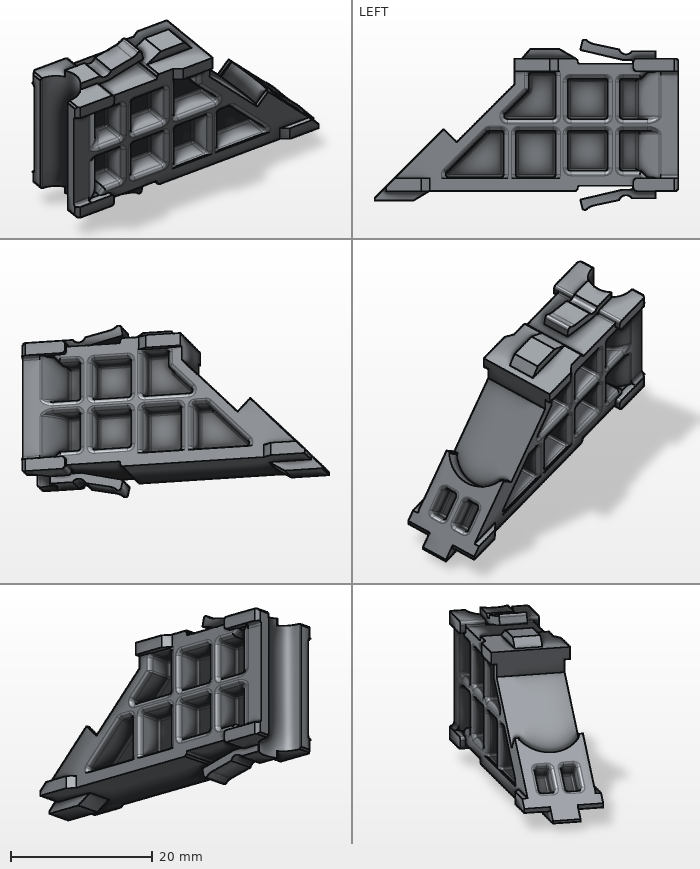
import cadquery as cq
import math

LENGTH = 43.1
FLANGE_HALF_WIDTH = 5.795
CORE_HALF_WIDTH = 5.0
BODY_HALF_HEIGHT = 9.4
FLANGE_UNDERSIDE = 7.6
TONGUE_HALF_WIDTH = 2.03
TONGUE_HEIGHT = 10.78

UPPER_TONGUE_BACK = 22.2
UPPER_CREST_BACK = 21.0
UPPER_CREST_FRONT = 16.95
LOWER_TONGUE_FRONT = 35.35
LOWER_CREST_FRONT = 37.6

SLOPE_OUTER = 32.7
STEP_DEPTH = 2.65
SLOPE_INNER = SLOPE_OUTER - STEP_DEPTH * math.sqrt(2)
BACK_WALL = 23.27
STEP_EDGE = 33.3
STEP_RADIUS = 5.17
STEP_RISE = 2.7
STEP_SHOULDER = 0.2
LOWER_FLANGE_END = 41.45

FRONT_FLANGE_LENGTH = 6.4
UNDERCUT_END = 14.25
UNDERCUT_HEIGHT = 8.65
UNDERCUT_CHAMFER = 0.3
UNDERCUT_ROOT_ROUND = 0.2
TAPER_LENGTH = 1.2
UPPER_TAPER_START = 18.25
LOWER_TAPER_START = 36.5
FRONT_EDGE_CHAMFER = 0.3
FRONT_CORNER_CHAMFER = 0.55
FLANGE_EDGE_ROUND = 0.47
GUSSET_RADIUS = 0.5
GUSSET_LENGTH = 2.55

BORE_RADIUS = 3.45
BORE_CENTER = 0.35
BORE_WALL_RADIUS = 5.5

WEB_HALF_WIDTH = 1.05
WALL_ROUND = 0.45
FLOOR_ROUND = 0.41
RIM_ROUND = 0.65
POCKET_NEAR_MID = 0.8
POCKET_FAR = 6.55
POCKET_AT_FLANGE = 7.45
POCKET_SLOPE = 26.15

CELL_CENTER = 38.25
CELL_OFFSET = 1.95
CELL_WIDTH = 2.25
CELL_LENGTH = 4.2
CELL_RIM_ROUND = 0.5


def yz_prism(points, half_width):
    """Extrude a closed (y, z) outline evenly to both sides of x = 0."""
    return cq.Workplane("YZ").polyline(points).close().extrude(half_width, both=True)


def side_outline():
    """Side outline of the body before the recess in the slope is cut."""
    return [
        (0, -BODY_HALF_HEIGHT),
        (LOWER_FLANGE_END, -BODY_HALF_HEIGHT),
        (LOWER_FLANGE_END, SLOPE_OUTER - LOWER_FLANGE_END),
        (SLOPE_OUTER - BODY_HALF_HEIGHT, BODY_HALF_HEIGHT),
        (0, BODY_HALF_HEIGHT),
    ]


def slope_plane(y, y_plus_z):
    """Plane on a 45 degree face; local y points down the slope, normal points out."""
    return cq.Plane(origin=(0, y, y_plus_z - y), xDir=(1, 0, 0), normal=(0, 1, 1))


def space_above_slope():
    """Everything behind the plane of the raised sloped face."""
    outline = [
        (SLOPE_OUTER + LENGTH, -LENGTH),
        (SLOPE_OUTER - LENGTH, LENGTH),
        (SLOPE_OUTER + LENGTH, LENGTH),
    ]
    return yz_prism(outline, FLANGE_HALF_WIDTH)


def slope_recess():
    """Space above the recessed slope: ends at an arched step and at the upright back wall."""
    reach = LENGTH
    center_to_chord = STEP_RADIUS - STEP_RISE + STEP_SHOULDER
    arc_half = math.sqrt(STEP_RADIUS**2 - center_to_chord**2)
    step_floor = STEP_EDGE - STEP_DEPTH / math.sqrt(2)
    recess = (
        cq.Workplane(slope_plane(step_floor, SLOPE_INNER))
        .moveTo(-FLANGE_HALF_WIDTH, -reach)
        .lineTo(-FLANGE_HALF_WIDTH, 0)
        .lineTo(-arc_half, 0)
        .lineTo(-arc_half, STEP_SHOULDER)
        .threePointArc((0, STEP_RISE), (arc_half, STEP_SHOULDER))
        .lineTo(arc_half, 0)
        .lineTo(FLANGE_HALF_WIDTH, 0)
        .lineTo(FLANGE_HALF_WIDTH, -reach)
        .close()
        .extrude(reach)
    )
    behind_wall = cq.Workplane("XY").box(reach, reach, 2 * reach, centered=(True, False, True))
    return recess.intersect(behind_wall.translate((0, BACK_WALL, 0)))


def undercut(side):
    """Clearance under a latch: rounded front edge, chamfered rear edge; side is +1 top, -1 bottom."""
    round_start = FRONT_FLANGE_LENGTH - FLANGE_EDGE_ROUND
    arc_inset = FLANGE_EDGE_ROUND * (1 - math.sqrt(0.5))
    block = (
        cq.Workplane("YZ")
        .moveTo(FRONT_FLANGE_LENGTH, UNDERCUT_HEIGHT)
        .lineTo(UNDERCUT_END, UNDERCUT_HEIGHT)
        .lineTo(UNDERCUT_END, BODY_HALF_HEIGHT - UNDERCUT_CHAMFER)
        .lineTo(UNDERCUT_END + UNDERCUT_CHAMFER, BODY_HALF_HEIGHT)
        .lineTo(round_start, BODY_HALF_HEIGHT)
        .threePointArc(
            (FRONT_FLANGE_LENGTH - arc_inset, BODY_HALF_HEIGHT - arc_inset),
            (FRONT_FLANGE_LENGTH, BODY_HALF_HEIGHT - FLANGE_EDGE_ROUND),
        )
        .close()
        .extrude(FLANGE_HALF_WIDTH, both=True)
        .faces("<Z").edges("|X").fillet(UNDERCUT_ROOT_ROUND)
    )
    return block if side > 0 else block.mirror("XY")


def pocket(points):
    """Pocket cutter for the -X side: rounded upright corners and floor."""
    depth = CORE_HALF_WIDTH - WEB_HALF_WIDTH
    block = cq.Workplane("YZ", origin=(-CORE_HALF_WIDTH, 0, 0)).polyline(points).close().extrude(depth)
    return block.edges("|X").fillet(WALL_ROUND).faces(">X").edges().fillet(FLOOR_ROUND)


def bore_pocket(side):
    """Pocket beside the bore; its front wall is round and concentric with the bore."""
    rear = 8.3
    step_start = 5.3
    step = POCKET_AT_FLANGE - POCKET_FAR
    depth = CORE_HALF_WIDTH - WEB_HALF_WIDTH
    outline = [
        (0, POCKET_NEAR_MID),
        (rear, POCKET_NEAR_MID),
        (rear, POCKET_FAR),
        (step_start, POCKET_FAR),
        (step_start - step, POCKET_AT_FLANGE),
        (0, POCKET_AT_FLANGE),
    ]
    block = cq.Workplane("YZ", origin=(-CORE_HALF_WIDTH, 0, 0)).polyline(outline).close().extrude(depth)
    bore_wall = (
        cq.Workplane("XY", origin=(0, BORE_CENTER, 0)).circle(BORE_WALL_RADIUS)
        .extrude(BODY_HALF_HEIGHT)
    )
    block = block.cut(bore_wall)
    block = block.edges("|X and >Y").fillet(WALL_ROUND)
    block = block.faces("<Z").edges("%CIRCLE").fillet(WALL_ROUND)
    block = block.faces(">X").edges().fillet(FLOOR_ROUND)
    return block if side > 0 else block.mirror("XY")


def pocket_outlines():
    def rectangle(y0, y1, z0, z1):
        return [(y0, z0), (y1, z0), (y1, z1), (y0, z1)]

    middle = (10.05, 15.75)
    rear_front = 17.4
    rear_back = 23.1
    upper_back = 21.25
    triangle_front = 24.8
    near, far, flange = POCKET_NEAR_MID, POCKET_FAR, POCKET_AT_FLANGE
    return [
        rectangle(*middle, near, far),
        rectangle(*middle, -far, -near),
        rectangle(rear_front, rear_back, -flange, -near),
        [
            (rear_front, near),
            (POCKET_SLOPE - near, near),
            (upper_back, POCKET_SLOPE - upper_back),
            (upper_back, flange),
            (rear_front, flange),
        ],
        [
            (triangle_front, -flange),
            (POCKET_SLOPE + flange, -flange),
            (POCKET_SLOPE + near, -near),
            (triangle_front, -near),
        ],
    ]


def round_rims(body, face_selector, radius):
    """Round the mouths of all pockets that open into the chosen face."""
    rims = [
        edge
        for face in body.faces(face_selector).vals()
        for wire in face.innerWires()
        for edge in wire.Edges()
    ]
    return body.newObject(rims).fillet(radius)


def core():
    body = yz_prism(side_outline(), CORE_HALF_WIDTH)
    cutters = [pocket(points) for points in pocket_outlines()]
    cutters += [bore_pocket(side) for side in (1, -1)]
    for cutter in cutters:
        body = body.cut(cutter).cut(cutter.mirror("YZ"))
    body = round_rims(body, "<X", RIM_ROUND)
    return round_rims(body, ">X", RIM_ROUND)


def flange(side, taper_start, end):
    """Full-width plate with a wide rear part, a narrow middle and a wide front part."""
    thickness = BODY_HALF_HEIGHT - FLANGE_UNDERSIDE
    wide = FLANGE_HALF_WIDTH
    narrow = CORE_HALF_WIDTH
    narrow_start = taper_start - TAPER_LENGTH
    base = cq.Workplane("XY", origin=(0, 0, FLANGE_UNDERSIDE))
    rear = (
        base.polyline([
            (-wide, end),
            (-wide, taper_start),
            (-narrow, narrow_start),
            (-narrow, 0),
            (narrow, 0),
            (narrow, narrow_start),
            (wide, taper_start),
            (wide, end),
        ])
        .close()
        .extrude(thickness)
    )
    front = (
        base.center(0, FRONT_FLANGE_LENGTH / 2)
        .rect(2 * wide, FRONT_FLANGE_LENGTH)
        .extrude(thickness)
        .edges("|Z and <Y").chamfer(FRONT_CORNER_CHAMFER)
        .faces(">Y").edges("<Z").fillet(FLANGE_EDGE_ROUND)
    )
    plate = rear.union(front)
    return plate if side > 0 else plate.mirror("XY")


def gusset(side_x, side_z):
    """Concave round under the front flange, where it meets the core."""
    x = CORE_HALF_WIDTH
    z = FLANGE_UNDERSIDE
    r = GUSSET_RADIUS
    mid = r * (1 - math.sqrt(0.5))
    return (
        cq.Workplane("XZ")
        .moveTo(side_x * x, side_z * z)
        .lineTo(side_x * (x + r), side_z * z)
        .threePointArc((side_x * (x + mid), side_z * (z - mid)), (side_x * x, side_z * (z - r)))
        .close()
        .extrude(-GUSSET_LENGTH)
    )


def upper_tongue():
    outline = [
        (UPPER_TONGUE_BACK, BODY_HALF_HEIGHT),
        (UPPER_CREST_BACK, TONGUE_HEIGHT),
        (UPPER_CREST_FRONT, TONGUE_HEIGHT),
        (UNDERCUT_END + UNDERCUT_CHAMFER, BODY_HALF_HEIGHT),
    ]
    return yz_prism(outline, TONGUE_HALF_WIDTH)


def lower_tongue():
    root = -FLANGE_UNDERSIDE
    outline = [
        (LOWER_TONGUE_FRONT, root),
        (LOWER_TONGUE_FRONT, -BODY_HALF_HEIGHT),
        (LOWER_CREST_FRONT, -TONGUE_HEIGHT),
        (LENGTH, -TONGUE_HEIGHT),
        (LENGTH, SLOPE_OUTER - LENGTH),
        (SLOPE_OUTER - root, root),
    ]
    return yz_prism(outline, TONGUE_HALF_WIDTH)


def latch(side):
    """Springy arm that rises from the front flange and ends in a rounded tip."""
    front = 3.25
    top = 10.45
    underside = 9.2
    thin_end = (8.4, 10.7)
    outline = (
        cq.Workplane("YZ")
        .moveTo(front, FLANGE_UNDERSIDE)
        .lineTo(front, top)
        .lineTo(6.6, top)
        .threePointArc((7.45, 10.0), thin_end)
        .lineTo(12.02, 11.45)
        .threePointArc((12.6, 11.7), (13.05, 12.02))
        .threePointArc((13.4, 12.05), (13.65, 11.75))
        .lineTo(13.88, 10.8)
        .threePointArc((13.88, 10.65), (13.75, 10.55))
        .lineTo(7.9, underside)
        .lineTo(6.75, underside)
        .threePointArc((6.55, 9.1), (6.45, 8.9))
        .lineTo(6.45, FLANGE_UNDERSIDE)
        .close()
    )
    arm = outline.extrude(TONGUE_HALF_WIDTH, both=True)
    return arm if side > 0 else arm.mirror("XY")


def slope_cells(body):
    """Two small round-cornered pockets, square to the raised sloped face."""
    cells = (
        cq.Workplane(slope_plane(CELL_CENTER, SLOPE_OUTER))
        .pushPoints([(-CELL_OFFSET, 0), (CELL_OFFSET, 0)])
        .rect(CELL_WIDTH, CELL_LENGTH)
        .extrude(-STEP_DEPTH)
    )
    normal = cq.Vector(0, 1, 1)
    cells = cells.edges(cq.selectors.ParallelDirSelector(normal)).fillet(WALL_ROUND)
    cells = cells.faces(cq.selectors.DirectionMinMaxSelector(normal, False)).edges().fillet(FLOOR_ROUND)
    raised_face = cq.selectors.DirectionMinMaxSelector(normal, True)
    return round_rims(body.cut(cells), raised_face, CELL_RIM_ROUND)


def bore():
    """U-shaped channel along Z in the front face."""
    tall = 2 * TONGUE_HEIGHT + BORE_RADIUS
    round_part = cq.Workplane("XY", origin=(0, BORE_CENTER, -tall)).circle(BORE_RADIUS).extrude(2 * tall)
    mouth = cq.Workplane("XY").box(2 * BORE_RADIUS, 2 * BORE_CENTER, 2 * tall)
    return round_part.union(mouth)


def front_edge_bevel(side):
    c = FRONT_EDGE_CHAMFER
    z = BODY_HALF_HEIGHT
    return yz_prism([(0, side * z), (c, side * z), (0, side * (z - c))], FLANGE_HALF_WIDTH)


body = core()
body = body.union(flange(1, UPPER_TAPER_START, BACK_WALL))
body = body.union(flange(-1, LOWER_TAPER_START, LOWER_FLANGE_END))
body = body.cut(space_above_slope()).cut(slope_recess())
for side_z in (1, -1):
    body = body.cut(undercut(side_z))
    body = body.cut(front_edge_bevel(side_z))
    body = body.union(latch(side_z))
    for side_x in (1, -1):
        body = body.union(gusset(side_x, side_z))
body = body.union(upper_tongue()).union(lower_tongue())
body = body.cut(bore())
result = slope_cells(body)